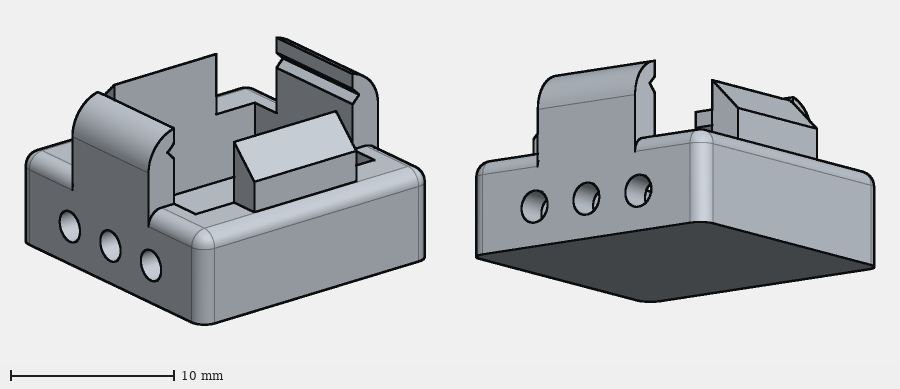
import cadquery as cq
import math

side = 18.0
body_height = 6.0
edge_radius = 1.0

cavity_x = 11.77
cavity_y = 14.0
floor_thickness = 1.5

total_height = 11.0
hook_width = 7.5
hook_thickness = (side - cavity_y) / 2
hook_radius = 2.5
groove_drop = 1.5
groove_depth = 0.5

tab_width = 8.0
tab_thickness = 2.0
tab_height = 10.0

hole_diameter = 2.0
hole_spacing = 4.0
hole_count = 3
hole_height = floor_thickness + hole_diameter / 2


def make_body():
    block = cq.Workplane("XY").box(side, side, body_height, centered=(True, True, False))
    return block.edges("|Z or >Z").fillet(edge_radius)


def make_hook():
    """Clip on the +Y wall: rounded outside, V groove inside."""
    outer = side / 2
    inner = outer - hook_thickness
    center_y = outer - hook_radius
    end_angle = math.acos((inner - center_y) / hook_radius)
    center_z = total_height - hook_radius * math.sin(end_angle)
    arc_middle = (
        center_y + hook_radius * math.cos(end_angle / 2),
        center_z + hook_radius * math.sin(end_angle / 2),
    )
    groove_z = total_height - groove_drop
    return (
        cq.Workplane("YZ")
        .moveTo(inner, 0)
        .lineTo(outer, 0)
        .lineTo(outer, center_z)
        .threePointArc(arc_middle, (inner, total_height))
        .lineTo(inner, groove_z + groove_depth)
        .lineTo(inner + groove_depth, groove_z)
        .lineTo(inner, groove_z - groove_depth)
        .close()
        .extrude(hook_width / 2, both=True)
    )


def make_tab():
    """Tab on the +X wall: a 45 degree bevel runs up to a sharp inner edge."""
    inner = cavity_x / 2
    outer = inner + tab_thickness
    return (
        cq.Workplane("XZ")
        .moveTo(inner, 0)
        .lineTo(outer, 0)
        .lineTo(outer, tab_height - tab_thickness)
        .lineTo(inner, tab_height)
        .close()
        .extrude(tab_width / 2, both=True)
    )


def make_cavity():
    return (
        cq.Workplane("XY", origin=(0, 0, floor_thickness))
        .box(cavity_x, cavity_y, total_height, centered=(True, True, False))
    )


def make_holes():
    return (
        cq.Workplane("XZ", origin=(0, 0, hole_height))
        .rarray(hole_spacing, 0.18, hole_count, 1)
        .circle(hole_diameter / 2)
        .extrude(side, both=True)
    )


hook = make_hook()
tab = make_tab()

result = make_body()
for clip in (hook, hook.mirror("XZ"), tab, tab.mirror("YZ")):
    result = result.union(clip)
result = result.cut(make_cavity()).cut(make_holes())